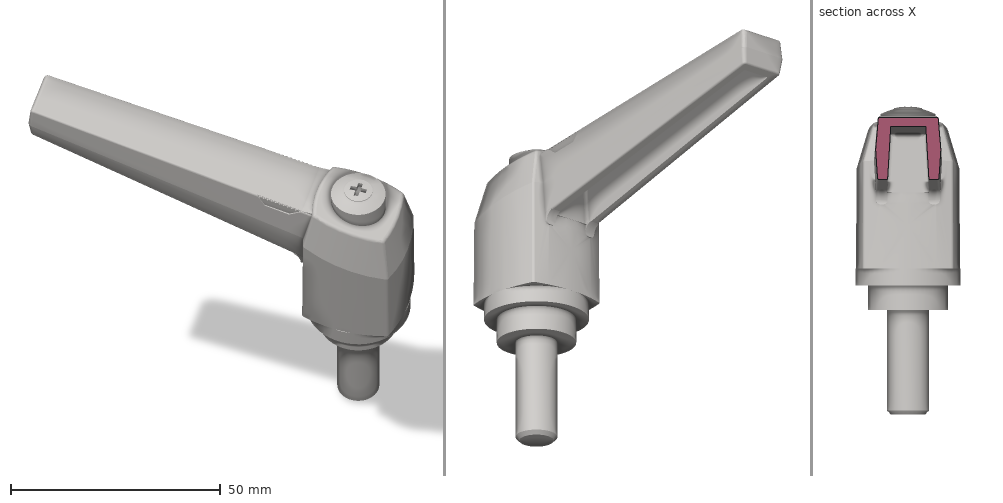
import cadquery as cq
import math

collar_diameter = 25.0
collar_height = 4.0
hub_diameter = 19.0
hub_height = 5.9
stud_diameter = 10.0
stud_bottom = -30.8
stud_chamfer = 0.9

base_corner = 10.7
base_bow = 12.4
base_bow_left = collar_diameter / 2
waist_corner_x = 10.5
waist_corner_y = 10.6
waist_bow_x = 12.3
waist_bow_y = 12.4
crown_corner_x = 8.8
crown_corner_y = 8.0
crown_bow_left = 10.2
crown_bow_right = 9.8
crown_bow_y = 9.4
parting_slope = math.tan(math.radians(12.9))
parting_height = 27.15
crown_slope = math.tan(math.radians(11.8))
crown_height = 37.2
corner_round = 0.8
crown_round = 0.9

screw_diameter = 13.0
screw_rim = 40.8
screw_top = 42.6
screw_cap_diameter = 6.8
screw_cap_step = 0.2
cross_span = 4.0
cross_width = 1.1
cross_depth = 1.4

arm_tip = -(93 - collar_diameter / 2)
arm_end = -8.4
arm_top_slope = math.tan(math.radians(10.1))
arm_bottom_slope = math.tan(math.radians(16.0))
arm_tip_top = 50.6
arm_tip_bottom = 41.7
tip_half_widths = (6.0, 6.4, 5.9)
end_half_widths = (7.4, 8.2, 7.7)
arm_shoulder = -11.9
tip_lean = 0.5
tip_round = 0.9
arm_edge_round = 0.5
web_drop = 3.3
web_start = -13.8
web_foot = -12.1
web_outer = 7.6
web_inner = 4.8
web_round = 1.1
web_bulge = 0.4

tip_wall = 2.8
hollow_tip = arm_tip + tip_wall
hollow_end = -12.4
hollow_tip_ceiling = 3.35
hollow_tip_rim = 3.8
hollow_end_ceiling = 4.3
hollow_end_rim = 5.2
hollow_round = 0.7
ceiling_thickness = 2.5
hollow_overcut = 1.9

pad_start = -23.1
pad_half_width = 7.2
ledge_start = -21.1
ledge_end = -15.0
ledge_depth = 2.4
tooth_count = 11
tooth_flat = 0.2
tooth_depth = 0.5


def parting_z(x):
    return parting_height - parting_slope * x


def crown_z(x):
    return crown_height - crown_slope * x


def arm_top_z(x):
    return arm_tip_top - arm_top_slope * (x - arm_tip)


def arm_bottom_z(x):
    return arm_tip_bottom - arm_bottom_slope * (x - arm_tip)


def bowed_square(corner_x, corner_y, bow_left, bow_right, bow_side, height_at):
    """Closed wire of four bowed sides and rounded corners, on the plane z = height_at(x)."""
    plan = [
        (-corner_x, -corner_y), (0, -bow_side), (corner_x, -corner_y), (bow_right, 0),
        (corner_x, corner_y), (0, bow_side), (-corner_x, corner_y), (-bow_left, 0),
    ]
    points = [cq.Vector(x, y, height_at(x)) for x, y in plan]
    points.append(points[0])
    sides = [cq.Edge.makeThreePointArc(*points[i:i + 3]) for i in range(0, len(plan), 2)]
    outline = cq.Wire.assembleEdges(sides)
    return outline.fillet2D(corner_round, outline.Vertices())


def make_post():
    base = bowed_square(base_corner, base_corner, base_bow_left, base_bow, base_bow, lambda x: collar_height)
    waist = bowed_square(waist_corner_x, waist_corner_y, waist_bow_x, waist_bow_x, waist_bow_y, parting_z)
    crown = bowed_square(crown_corner_x, crown_corner_y, crown_bow_left, crown_bow_right, crown_bow_y, crown_z)
    post = cq.Workplane(cq.Solid.makeLoft([base, waist, crown], True))
    return post.faces(">Z").edges().fillet(crown_round)


def trapezoid(top, bottom):
    """Closed wire across the arm between two level lines given as (x, half width, z)."""
    corners = [
        (x, side * half_width, z)
        for (x, half_width, z), sides in ((top, (1, -1)), (bottom, (-1, 1)))
        for side in sides
    ]
    return cq.Wire.makePolygon([cq.Vector(*corner) for corner in corners], close=True)


def side_prism(outline, half_width):
    """Prism across Y, centred on the arm, from an (x, z) outline."""
    return cq.Workplane("XZ").polyline(outline).close().extrude(half_width, both=True)


def is_upright(edge):
    return abs(edge.tangentAt(0.5).z) > 0.8


def is_tip_corner(edge):
    """The upright corners of the arm's tip and the upper edge of its end face."""
    at_top = edge.Center().z > arm_tip_top - tip_lean
    return edge.BoundingBox().xmax < arm_tip + 2 * tip_lean and (is_upright(edge) or at_top)


def is_rim(edge):
    """Edges of the arm's top and bottom faces, apart from the end buried in the post."""
    middle = edge.Center()
    off_parting = abs(middle.z - parting_z(middle.x)) > tip_round
    return off_parting and not is_upright(edge) and edge.BoundingBox().xmin < arm_end - tip_round


def make_arm():
    tip_width_top, tip_width_middle, tip_width_bottom = tip_half_widths
    end_width_top, end_width_middle, end_width_bottom = end_half_widths
    tip_top = (arm_tip + tip_lean, tip_width_top, arm_tip_top)
    tip_middle = (arm_tip, tip_width_middle, parting_z(arm_tip))
    tip_bottom = (arm_tip + tip_lean, tip_width_bottom, arm_tip_bottom)
    end_top = (arm_end, end_width_top, arm_top_z(arm_end))
    end_middle = (arm_end, end_width_middle, parting_z(arm_end))
    end_bottom = (arm_end, end_width_bottom, arm_bottom_z(arm_end))
    upper = cq.Solid.makeLoft([trapezoid(tip_top, tip_middle), trapezoid(end_top, end_middle)], True)
    lower = cq.Solid.makeLoft([trapezoid(tip_middle, tip_bottom), trapezoid(end_middle, end_bottom)], True)
    arm = cq.Workplane(upper).union(cq.Workplane(lower))
    arm = arm.newObject(filter(is_tip_corner, arm.edges().vals())).fillet(tip_round)
    return arm.newObject(filter(is_rim, arm.edges().vals())).fillet(arm_edge_round)


def make_shelf():
    """Level strip of the arm's top between the thumb pad and the post."""
    top = arm_top_z(arm_shoulder)
    drop = top - arm_top_z(arm_end)
    return side_prism([(arm_shoulder, top), (arm_end, top), (arm_end, top - 2 * drop)], pad_half_width)


def make_hollow():
    """Space between the arm's two side walls, open below and closed by the post."""
    def cross_section(x, ceiling_half_width, rim_half_width):
        ceiling = (x, ceiling_half_width, arm_top_z(x) - ceiling_thickness)
        opening = (x, rim_half_width, arm_bottom_z(x) - hollow_overcut)
        return trapezoid(ceiling, opening)

    outer = cross_section(hollow_tip, hollow_tip_ceiling, hollow_tip_rim)
    inner = cross_section(hollow_end, hollow_end_ceiling, hollow_end_rim)
    hollow = cq.Workplane(cq.Solid.makeLoft([outer, inner], True))
    return hollow.faces(">X").edges("not <Z").fillet(hollow_round)


def make_pad_ledges():
    """Shallow recesses that leave the thumb pad standing proud of ledges on both arm sides."""
    outline = [
        (pad_start, arm_top_z(pad_start)),
        (ledge_start, arm_top_z(ledge_start) - ledge_depth),
        (ledge_end, arm_top_z(ledge_end) - ledge_depth),
        (arm_shoulder, arm_top_z(arm_shoulder)),
        (arm_shoulder, arm_top_z(pad_start)),
    ]
    return side_prism(outline, collar_diameter / 2).cut(side_prism(outline, pad_half_width))


def make_grooves():
    """Grooves across the thumb pad that leave a row of teeth with narrow flat crests and roots."""
    pitch = (arm_shoulder - pad_start) / tooth_count
    grooves = cq.Workplane("XZ")
    for i in range(tooth_count):
        middle = pad_start + (i + 0.5) * pitch
        mouth = (pitch - tooth_flat) / 2
        root = tooth_flat / 2
        stations = [(-mouth, 0), (-root, tooth_depth), (root, tooth_depth), (mouth, 0)]
        outline = [(middle + step, arm_top_z(middle + step) - depth) for step, depth in stations]
        grooves = grooves.polyline(outline).close()
    return grooves.extrude(collar_diameter / 2, both=True)


def make_web():
    """Sloping fillets where the arm's underside meets the post."""
    start_z = arm_bottom_z(web_start)
    foot_z = start_z - web_drop
    bulge = (web_foot - web_bulge, start_z - web_drop / 3)
    outline = (
        cq.Workplane("XZ")
        .moveTo(web_start, start_z)
        .threePointArc(bulge, (web_foot, foot_z))
        .lineTo(arm_end, foot_z)
        .lineTo(arm_end, start_z)
        .close()
    )
    width = web_outer - web_inner
    web = outline.extrude(width / 2, both=True)
    web = web.faces("<Z").edges("|X").fillet(web_round)
    offset = (web_outer + web_inner) / 2
    return web.translate((0, offset, 0)).union(web.translate((0, -offset, 0)))


def make_turned_parts():
    collar = cq.Workplane("XY").circle(collar_diameter / 2).extrude(collar_height)
    hub = cq.Workplane("XY").circle(hub_diameter / 2).extrude(-hub_height)
    stud = cq.Workplane("XY").workplane(offset=stud_bottom).circle(stud_diameter / 2).extrude(-stud_bottom)
    stud = stud.faces("<Z").chamfer(stud_chamfer)
    return collar.union(hub).union(stud)


def make_screw():
    radius = screw_diameter / 2
    cap_radius = screw_cap_diameter / 2
    dome_height = screw_top - screw_rim - screw_cap_step
    sphere_radius = (radius**2 + dome_height**2) / (2 * dome_height)

    def dome_z(distance):
        return screw_rim + dome_height - sphere_radius + math.sqrt(sphere_radius**2 - distance**2)

    middle = (radius + cap_radius) / 2
    cap_middle = cap_radius / 2
    screw = (
        cq.Workplane("XZ")
        .moveTo(0, parting_height)
        .lineTo(radius, parting_height)
        .lineTo(radius, screw_rim)
        .threePointArc((middle, dome_z(middle)), (cap_radius, dome_z(cap_radius)))
        .lineTo(cap_radius, dome_z(cap_radius) + screw_cap_step)
        .threePointArc((cap_middle, dome_z(cap_middle) + screw_cap_step), (0, screw_top))
        .close()
        .revolve(360, (0, 0, 0), (0, 1, 0))
    )
    floor = cq.Workplane("XY").workplane(offset=screw_top - cross_depth)
    cross = floor.rect(cross_span, cross_width).extrude(cross_depth)
    cross = cross.union(floor.rect(cross_width, cross_span).extrude(cross_depth))
    return screw.cut(cross)


arm = make_arm().cut(make_pad_ledges()).cut(make_grooves()).union(make_shelf()).cut(make_hollow())
result = make_turned_parts().union(make_post()).union(arm).union(make_web()).union(make_screw())